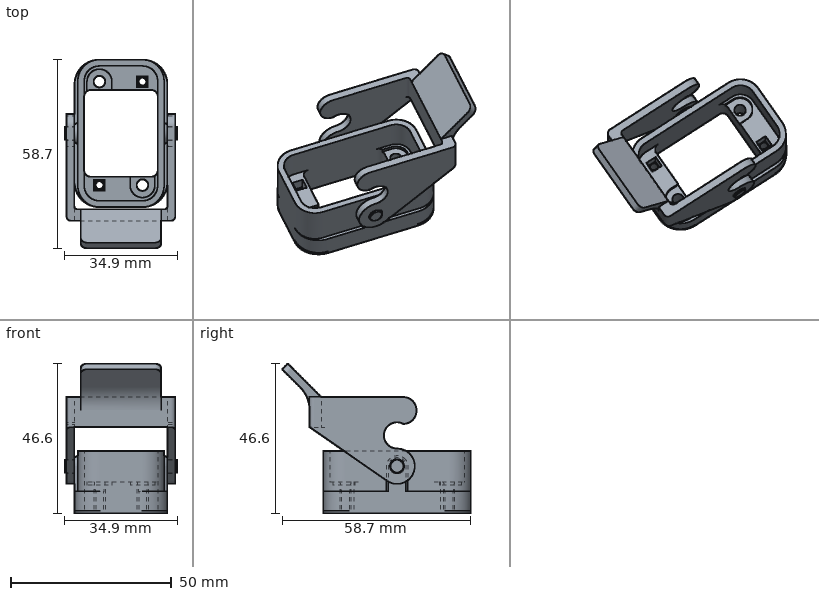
import cadquery as cq
import math

overall_length = 58.65

housing_length = 45.9
base_width = 28.9
side_step = 1.05
base_height = 6.9
housing_height = 19.4
base_corner_radius = 7.75
foot_height = 0.9
foot_corner_radius = 7.9
wall = 2.0
floor_height = 9.85

upper_width = base_width - 2 * side_step
upper_corner_radius = base_corner_radius - side_step
cavity_width = upper_width - 2 * wall
cavity_length = housing_length - 2 * wall
cavity_corner_radius = upper_corner_radius - wall

window_length = 26.9
window_corner_radius = 1.95

fixing_x = 6.7
fixing_y = 16.1
screw_hole_diameter = 3.5
screw_seat_radius = 3.9
screw_seat_depth = 1.0
nut_pocket_side = 3.4
nut_pocket_bottom_side = 2.6
nut_hole_diameter = 2.4
nut_pocket_depth = 3.0

pivot_height = 14.65
pin_diameter = 4.0
pin_hole_diameter = 4.4
pin_span = 34.9
boss_face_radius = 2.75
boss_root_radius = 3.35

lever_outer_width = 33.85
lever_top = 36.2
arm_inner_x = base_width / 2
arm_end_radius = 5.5
notch_radius = 4.05
hook_radius = 4.2
hook_y = 1.9
plate_thickness = 3.65
plate_bottom = 26.8
outer_corner_radius = 1.45
inner_corner_radius = 1.0

handle_width = 25.0
handle_length = 14.65
handle_thickness = 2.5
handle_slope = math.radians(45)
handle_blend_radius = 10.0
handle_corner_radius = 2.0

handle_reach = handle_length * math.cos(handle_slope) + handle_thickness * math.sin(handle_slope)
plate_inner_y = housing_length / 2 - overall_length + handle_reach
plate_outer_y = plate_inner_y - plate_thickness


def rounded_block(width, length, bottom, top, radius):
    """Upright block centred on the Z axis with rounded vertical edges."""
    block = cq.Workplane("XY").box(width, length, top - bottom, centered=(True, True, False))
    return block.edges("|Z").fillet(radius).translate((0, 0, bottom))


def x_extrusion(outline, width):
    """Extrude a closed YZ outline by the given width, centred on X = 0."""
    return outline.extrude(width / 2, both=True)


def boss_outline(x, radius):
    """Round-topped outline standing on the base, in the YZ plane at the given X."""
    return (
        cq.Workplane("YZ", origin=(x, 0, 0))
        .moveTo(-radius, base_height)
        .lineTo(-radius, pivot_height)
        .threePointArc((0, pivot_height + radius), (radius, pivot_height))
        .lineTo(radius, base_height)
        .close()
    )


def pivot_boss():
    """Pad on the +X side that narrows evenly from the upper wall out to its face."""
    root = boss_outline(upper_width / 2, boss_root_radius).wire().val()
    face = boss_outline(base_width / 2, boss_face_radius).wire().val()
    return cq.Workplane(cq.Solid.makeLoft([root, face], True))


def housing_shell():
    """Stepped rounded wall with an open cavity above a floor that has a large window."""
    foot = rounded_block(base_width, housing_length, 0, foot_height, foot_corner_radius)
    base = rounded_block(base_width, housing_length, foot_height, base_height, base_corner_radius)
    upper = rounded_block(upper_width, housing_length, base_height, housing_height, upper_corner_radius)
    upper = upper.union(pivot_boss()).union(pivot_boss().mirror("YZ"))
    cavity = rounded_block(cavity_width, cavity_length, floor_height, housing_height, cavity_corner_radius)
    window = rounded_block(cavity_width, window_length, 0, floor_height, window_corner_radius)
    return foot.union(base).union(upper).cut(cavity).cut(window)


def screw_seat_cut():
    """Round-ended recess open to the window, with a clearance hole through the floor."""
    seat_bottom = floor_height - screw_seat_depth
    end = cq.Workplane("XY", origin=(-fixing_x, fixing_y, seat_bottom)).circle(screw_seat_radius)
    seat = end.extrude(screw_seat_depth)
    mouth = cq.Workplane("XY").box(
        2 * screw_seat_radius, fixing_y, screw_seat_depth, centered=(True, False, False)
    )
    hole = cq.Workplane("XY", origin=(-fixing_x, fixing_y, 0)).circle(screw_hole_diameter / 2)
    return seat.union(mouth.translate((-fixing_x, 0, seat_bottom))).union(hole.extrude(floor_height))


def nut_pocket_cut():
    """Square pocket tapering down to a ledge around the round hole below it."""
    pocket = (
        cq.Workplane("XY", origin=(fixing_x, fixing_y, floor_height))
        .rect(nut_pocket_side, nut_pocket_side)
        .workplane(offset=-nut_pocket_depth)
        .rect(nut_pocket_bottom_side, nut_pocket_bottom_side)
        .loft(ruled=True)
    )
    hole = cq.Workplane("XY", origin=(fixing_x, fixing_y, 0)).circle(nut_hole_diameter / 2)
    return pocket.union(hole.extrude(floor_height))


def pivot_pin():
    """Stub pin standing out from the boss on the +X side."""
    profile = cq.Workplane("YZ", origin=(base_width / 2, 0, pivot_height)).circle(pin_diameter / 2)
    return profile.extrude((pin_span - base_width) / 2)


def make_housing():
    housing = housing_shell().union(pivot_pin()).union(pivot_pin().mirror("YZ"))
    for turn in (0, 180):
        for cutter in (screw_seat_cut(), nut_pocket_cut()):
            housing = housing.cut(cutter.rotate((0, 0, 0), (0, 0, 1), turn))
    return housing


def on_circle(center, radius, angle):
    """Point on a circle in the YZ plane; the angle runs from +Y towards +Z."""
    return (center[0] + radius * math.cos(angle), center[1] + radius * math.sin(angle))


def arm_profile():
    """Side outline: hook at the top, round notch, pivot eye, straight lower edge to the plate."""
    pivot = (0, pivot_height)
    notch = (0, pivot_height + arm_end_radius + notch_radius)
    hook = (hook_y, lever_top - hook_radius)

    spacing = math.dist(notch, hook)
    towards_hook = math.atan2(hook[1] - notch[1], hook[0] - notch[0])
    turn = math.acos((notch_radius**2 + spacing**2 - hook_radius**2) / (2 * notch_radius * spacing))
    notch_end = on_circle(notch, notch_radius, towards_hook - turn)

    corner = (plate_outer_y, plate_bottom)
    towards_corner = math.atan2(corner[1] - pivot[1], corner[0] - pivot[0])
    tangent_angle = towards_corner + math.acos(arm_end_radius / math.dist(pivot, corner))
    eye_start = on_circle(pivot, arm_end_radius, tangent_angle)

    return (
        cq.Workplane("YZ")
        .moveTo(plate_outer_y, lever_top)
        .lineTo(*corner)
        .lineTo(*eye_start)
        .threePointArc((arm_end_radius, pivot_height), (0, pivot_height + arm_end_radius))
        .threePointArc((-notch_radius, notch[1]), notch_end)
        .threePointArc((hook_y + hook_radius, hook[1]), (hook_y, lever_top))
        .close()
    )


def lever_yoke():
    """Two arms joined by a plate that ends higher up than the arms, with rounded upright corners."""
    yoke = x_extrusion(arm_profile(), lever_outer_width).edges("|Z").fillet(outer_corner_radius)
    gap_length = hook_y + hook_radius - plate_inner_y
    gap = cq.Workplane("XY").box(
        2 * arm_inner_x, gap_length, lever_top, centered=(True, False, False)
    )
    gap = gap.edges("|Z and <Y").fillet(inner_corner_radius).translate((0, plate_inner_y, 0))
    below_plate = cq.Workplane("XY").box(
        2 * arm_inner_x, -plate_outer_y, plate_bottom, centered=(True, False, False)
    )
    return yoke.cut(gap).cut(below_plate.translate((0, plate_outer_y, 0)))


def lever_handle():
    """Sloped thumb plate, blended into the outer face of the yoke plate."""
    along = (-math.cos(handle_slope), math.sin(handle_slope))
    across = (-math.sin(handle_slope), -math.cos(handle_slope))
    tip_top = (plate_inner_y + handle_length * along[0], lever_top + handle_length * along[1])
    tip_bottom = (
        tip_top[0] + handle_thickness * across[0],
        tip_top[1] + handle_thickness * across[1],
    )

    blend_center_y = plate_outer_y - handle_blend_radius
    blend_end_y = blend_center_y + handle_blend_radius * math.sin(handle_slope)
    blend_end_z = tip_bottom[1] + (tip_bottom[0] - blend_end_y) * math.tan(handle_slope)
    blend_center = (blend_center_y, blend_end_z - handle_blend_radius * math.cos(handle_slope))

    profile = (
        cq.Workplane("YZ")
        .moveTo(plate_inner_y, lever_top)
        .lineTo(*tip_top)
        .lineTo(*tip_bottom)
        .lineTo(blend_end_y, blend_end_z)
        .threePointArc(
            on_circle(blend_center, handle_blend_radius, handle_slope / 2),
            (plate_outer_y, blend_center[1]),
        )
        .lineTo(plate_inner_y, blend_center[1])
        .close()
    )
    handle = x_extrusion(profile, handle_width)
    tip_corners = cq.selectors.ParallelDirSelector(cq.Vector(0, *across))
    return handle.edges(tip_corners).fillet(handle_corner_radius)


def make_lever():
    pin_hole = x_extrusion(
        cq.Workplane("YZ", origin=(0, 0, pivot_height)).circle(pin_hole_diameter / 2), pin_span
    )
    return lever_yoke().union(lever_handle()).cut(pin_hole)


housing = make_housing()
lever = make_lever()

result = cq.Compound.makeCompound([housing.val(), lever.val()])